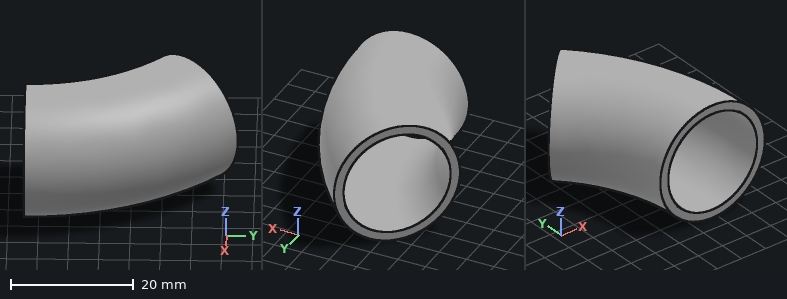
import cadquery as cq
import math

outer_diameter = 21.7
inner_diameter = 18.4
bend_angle = 45.0
length_y = 34.65

outside_bend_radius = length_y / math.sin(math.radians(bend_angle))
bend_radius = outside_bend_radius - outer_diameter / 2

result = (
    cq.Workplane("XZ")
    .circle(outer_diameter / 2)
    .circle(inner_diameter / 2)
    .revolve(bend_angle, (-bend_radius, 0), (-bend_radius, 1))
)